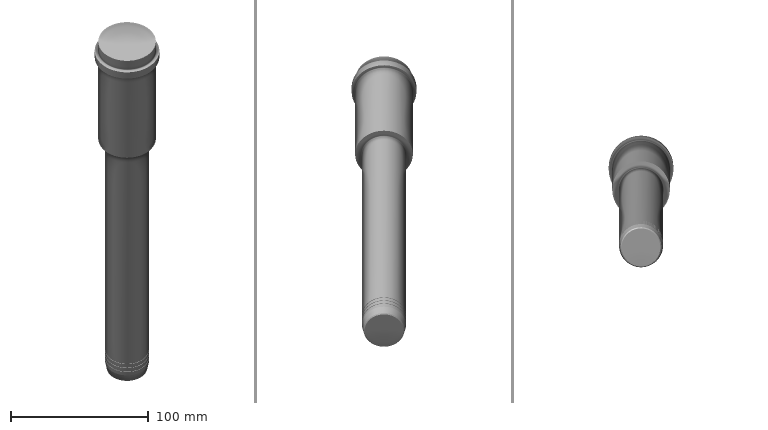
import cadquery as cq
import math

total_length = 320.0
shaft_diameter = 32.0
head_diameter = 42.0
head_length = 95.0

collar_diameter = 47.0
collar_top_offset = 9.0
collar_thickness = 6.0

corner_radius = 0.5

nose_height = 7.0
nose_end_diameter = 29.5
nose_tip_bevel = 0.5

groove_count = 3
groove_pitch = 4.0
groove_width = 1.0
groove_depth = 0.3


def cylinder(diameter, bottom, height):
    """Solid cylinder on the Z axis, starting at the given height."""
    return cq.Workplane("XY").workplane(offset=bottom).circle(diameter / 2).extrude(height)


def shaft_with_nose():
    """Shaft tapering to its bevelled lower end."""
    shaft_radius = shaft_diameter / 2
    return (
        cq.Workplane("XZ")
        .lineTo(nose_end_diameter / 2, 0)
        .lineTo(shaft_radius, nose_height)
        .lineTo(shaft_radius, total_length)
        .lineTo(0, total_length)
        .close()
        .revolve(360, (0, 0, 0), (0, 1, 0))
        .faces("<Z")
        .chamfer(nose_tip_bevel)
    )


def ring_groove(bottom):
    """Ring of material to remove from the shaft surface."""
    outer = cylinder(shaft_diameter + groove_depth, bottom, groove_width)
    core = cylinder(shaft_diameter - 2 * groove_depth, bottom, groove_width)
    return outer.cut(core)


def corner_fillet(diameter, corner_height, direction):
    """Disc with a concave rim that fills an inside corner; direction is 1 for upward and -1 for downward."""
    wall = diameter / 2
    shoulder = wall + corner_radius
    wall_end = corner_height + direction * corner_radius
    arc_inset = corner_radius * (1 - math.sqrt(0.5))
    return (
        cq.Workplane("XZ")
        .moveTo(0, corner_height)
        .lineTo(shoulder, corner_height)
        .threePointArc((wall + arc_inset, corner_height + direction * arc_inset), (wall, wall_end))
        .lineTo(0, wall_end)
        .close()
        .revolve(360, (0, 0, 0), (0, 1, 0))
    )


head_bottom = total_length - head_length
head = cylinder(head_diameter, head_bottom, head_length)
collar_top = total_length - collar_top_offset
collar_bottom = collar_top - collar_thickness
collar = cylinder(collar_diameter, collar_bottom, collar_thickness)

result = shaft_with_nose().union(head).union(collar)
result = result.union(corner_fillet(head_diameter, collar_top, 1))
result = result.union(corner_fillet(head_diameter, collar_bottom, -1))
result = result.union(corner_fillet(shaft_diameter, head_bottom, -1))

for index in range(groove_count):
    groove_center = nose_height + (index + 1) * groove_pitch
    result = result.cut(ring_groove(groove_center - groove_width / 2))